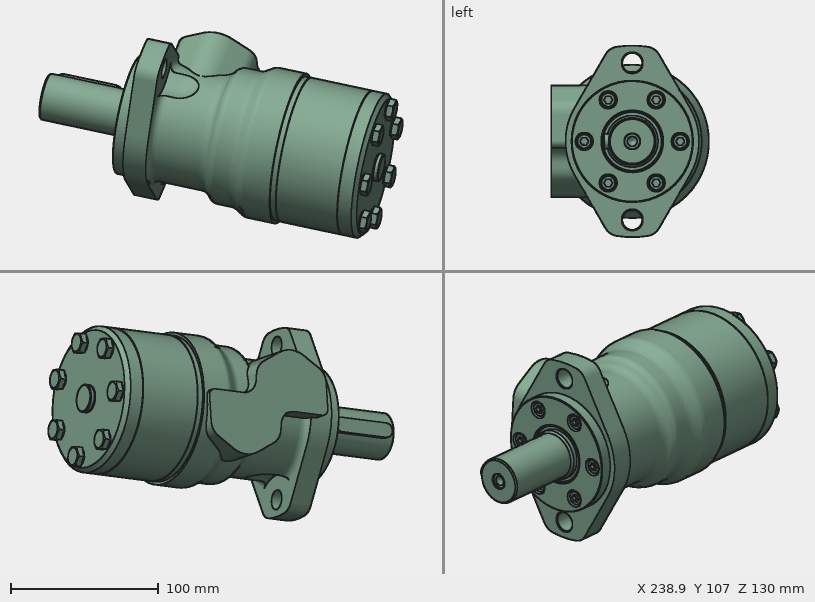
import cadquery as cq
import math


PILOT_FACE = 59.3
FLANGE_FACE = 67.8
FLANGE_BACK = 83.9
NECK_END = 119.6
BELT_START = 131.8
BELT_END = 141.9
REAR_START = 154.1
HOUSING_END = 173.0
SPACER_END = 176.8
RING_END = 220.3
COVER_END = 233.1
OVERALL_LENGTH = 238.9

SHAFT_R = 16.0
SHAFT_TIP_CHAMFER = 1.0
COLLAR_R = 17.5
COLLAR_CONE_START = 56.1
COLLAR_START = COLLAR_CONE_START + COLLAR_R - SHAFT_R
SHAFT_END = NECK_END
CENTRE_BORE_R = 5.2
CENTRE_BORE_CHAMFER = 0.3
CENTRE_BORE_DEPTH = 1.2
THREAD_HOLE_R = 6.65 / 2
THREAD_HOLE_DEPTH = 25.0
DRILL_HALF_ANGLE = 59.0
KEY_START = 3.6
KEY_LENGTH = 45.0
KEY_WIDTH = 10.0
KEY_BOTTOM = 11.0
KEY_TOP = 19.0

PILOT_R = 41.25
PILOT_CHAMFER = 0.5
FLANGE_SIDE_R = 45.2
FLANGE_TIP_R = 65.0
FLANGE_CORNER_R = 11.0
FLANGE_EDGE_ANGLE = 30.0
MOUNT_HOLE_R = 13.35 / 2
MOUNT_HOLE_CHAMFER = 0.6
MOUNT_HOLE_Z = 53.2
SEAL_MOUTH_R = 21.1
SEAL_MOUTH_CHAMFER = 0.5
SEAL_MOUTH_DEPTH = 0.8
SEAL_RECESS_R = 39.6 / 2
SEAL_RECESS_DEPTH = 1.5
SCREW_COUNT = 6
SCREW_CIRCLE_R = 32.5
SCREW_BORE_R = 6.0
SCREW_BORE_DEPTH = 6.0
SCREW_HEAD_R = 5.0
SCREW_HEAD_CHAMFER = 0.4
SCREW_HEAD_SINK = 1.0
SCREW_SOCKET_FLATS = 5.0
SCREW_SOCKET_DEPTH = 3.0

NECK_R = 40.4
NECK_FILLET = FLANGE_SIDE_R - NECK_R
BELT_R = 47.1
REAR_R = 52.0
SHOULDER_HOLLOW_R = 8.1
SHOULDER_CREST_R = 6.0
BOLT_SLOT_R = 23.9
BOLT_SLOT_Z = 60.0
BOLT_SLOT_END = 94.2

PORT_FACE_Y = 55.0
PORT_END = 170.6
LOBE_X = 105.7
LOBE_TOP = 38.0
LOBE_TIP_R = 19.3
LOBE_SLOPE = 31.5
SLOPE_LENGTH = 13.9
FLANK_BLEND_R = 12.0
FLANK_LEAN = 4.0
LEDGE_Z = 4.4
LEDGE_BLEND_R = 10.3

RING_R = 50.0
RING_CHAMFER = 0.3
COVER_CHAMFER = 3.0
BOLT_COUNT = 7
BOLT_CIRCLE_R = 40.0
BOLT_FIRST_ANGLE = -3.5
BOLT_FLATS = 13.0
BOLT_HEAD_TURN = -8.0
BOLT_WASHER_R = 11.9 / 2
BOLT_WASHER_THICKNESS = 0.8
BOLT_FACE_R = 6.0
PLUG_NECK_R = 9.0
PLUG_NECK_LENGTH = 0.8
PLUG_R = 9.5
PLUG_LENGTH = 4.2
PLUG_CHAMFER = 0.6


def x_cylinder(radius, start, end, y=0.0, z=0.0):
    """Solid cylinder parallel to X between two stations."""
    plane = cq.Workplane("YZ", origin=(start, y, z))
    return plane.circle(radius).extrude(end - start)


def x_revolve(profile):
    """Turn a closed profile drawn in XY about the X axis."""
    return profile.revolve(360, (0, 0, 0), (1, 0, 0))


def hexagon(flats, start, end):
    """Hexagonal prism along X with a corner on +Y."""
    corner_diameter = flats / math.cos(math.pi / 6)
    return cq.Workplane("YZ", origin=(start, 0, 0)).polygon(6, corner_diameter).extrude(end - start)


def around_axis(feature, radius, count, first_angle=0.0):
    """Copies of a feature spaced evenly on a circle about X, all keeping the same orientation."""
    copies = []
    for i in range(count):
        angle = math.radians(first_angle + i * 360.0 / count)
        copies.append(feature.translate((0, radius * math.cos(angle), radius * math.sin(angle))))
    return copies


def make_key():
    plane = cq.Workplane("XZ", origin=(KEY_START + KEY_LENGTH / 2, KEY_BOTTOM, 0))
    return plane.slot2D(KEY_LENGTH, KEY_WIDTH).extrude(KEY_BOTTOM - KEY_TOP)


def make_shaft(key):
    tip_depth = THREAD_HOLE_R / math.tan(math.radians(DRILL_HALF_ANGLE))
    profile = (
        cq.Workplane("XY")
        .moveTo(THREAD_HOLE_DEPTH + tip_depth, 0)
        .lineTo(THREAD_HOLE_DEPTH, THREAD_HOLE_R)
        .lineTo(CENTRE_BORE_DEPTH, THREAD_HOLE_R)
        .lineTo(CENTRE_BORE_DEPTH, CENTRE_BORE_R)
        .lineTo(CENTRE_BORE_CHAMFER, CENTRE_BORE_R)
        .lineTo(0, CENTRE_BORE_R + CENTRE_BORE_CHAMFER)
        .lineTo(0, SHAFT_R - SHAFT_TIP_CHAMFER)
        .lineTo(SHAFT_TIP_CHAMFER, SHAFT_R)
        .lineTo(COLLAR_CONE_START, SHAFT_R)
        .lineTo(COLLAR_START, COLLAR_R)
        .lineTo(SHAFT_END, COLLAR_R)
        .lineTo(SHAFT_END, 0)
        .close()
    )
    return x_revolve(profile).cut(key)


def make_flange():
    """Oval flange: a round middle with straight flanks running tangent to two rounded tips."""
    angle = math.radians(FLANGE_EDGE_ANGLE)
    tangent_y = FLANGE_SIDE_R * math.cos(angle)
    tangent_z = FLANGE_SIDE_R * math.sin(angle)
    apex_z = FLANGE_SIDE_R / math.sin(angle)
    thickness = FLANGE_BACK - FLANGE_FACE
    flanks = (
        cq.Workplane("YZ", origin=(FLANGE_FACE, 0, 0))
        .polyline([
            (tangent_y, -tangent_z),
            (tangent_y, tangent_z),
            (0, apex_z),
            (-tangent_y, tangent_z),
            (-tangent_y, -tangent_z),
            (0, -apex_z),
        ])
        .close()
        .extrude(thickness)
        .intersect(x_cylinder(FLANGE_TIP_R, FLANGE_FACE, FLANGE_BACK))
    )
    tips = cq.selectors.BoxSelector(
        (FLANGE_FACE, -FLANGE_SIDE_R, tangent_z + 1),
        (FLANGE_BACK, FLANGE_SIDE_R, apex_z),
    ) + cq.selectors.BoxSelector(
        (FLANGE_FACE, -FLANGE_SIDE_R, -apex_z),
        (FLANGE_BACK, FLANGE_SIDE_R, -tangent_z - 1),
    )
    flanks = flanks.edges("|X").edges(tips).fillet(FLANGE_CORNER_R)
    return flanks.union(x_cylinder(FLANGE_SIDE_R, FLANGE_FACE, FLANGE_BACK))


def add_shoulder(profile, start, end, low, high):
    """Concave arc, straight slope and convex arc from radius low up to radius high."""
    run = end - start
    radii = SHOULDER_HOLLOW_R + SHOULDER_CREST_R
    drop = radii - (high - low)
    slope = math.atan2(run, drop) - math.acos(radii / math.hypot(run, drop))

    def arc_offset(radius, angle):
        return radius * math.sin(angle), radius * (1 - math.cos(angle))

    hollow_mid_x, hollow_mid_r = arc_offset(SHOULDER_HOLLOW_R, slope / 2)
    hollow_x, hollow_r = arc_offset(SHOULDER_HOLLOW_R, slope)
    crest_mid_x, crest_mid_r = arc_offset(SHOULDER_CREST_R, slope / 2)
    crest_x, crest_r = arc_offset(SHOULDER_CREST_R, slope)
    return (
        profile.lineTo(start, low)
        .threePointArc((start + hollow_mid_x, low + hollow_mid_r), (start + hollow_x, low + hollow_r))
        .lineTo(end - crest_x, high - crest_r)
        .threePointArc((end - crest_mid_x, high - crest_mid_r), (end, high))
    )


def make_turned_body():
    """Neck, belt and rear rim joined by S-shaped shoulders."""
    fillet_middle = NECK_FILLET * (1 - math.sqrt(0.5))
    profile = (
        cq.Workplane("XY")
        .moveTo(FLANGE_FACE, 0)
        .lineTo(FLANGE_FACE, FLANGE_SIDE_R)
        .lineTo(FLANGE_BACK, FLANGE_SIDE_R)
        .threePointArc(
            (FLANGE_BACK + fillet_middle, NECK_R + fillet_middle),
            (FLANGE_BACK + NECK_FILLET, NECK_R),
        )
    )
    profile = add_shoulder(profile, NECK_END, BELT_START, NECK_R, BELT_R)
    profile = add_shoulder(profile, BELT_END, REAR_START, BELT_R, REAR_R)
    profile = profile.lineTo(HOUSING_END, REAR_R).lineTo(HOUSING_END, 0).close()
    return x_revolve(profile)


def make_port_block():
    """Block with two offset lobes; the second half of its outline is the first turned half round.

    Each lobe has a round tip, two straight slopes and two flanks that lean in by a few degrees.
    All its arcs are tangent to their neighbours. One flank runs down to the middle plane and
    the other blends into a flat ledge.
    """
    slope = math.radians(LOBE_SLOPE)
    lean = math.radians(FLANK_LEAN)
    steep = math.pi / 2 - lean
    mean_angle = (slope + steep) / 2

    tip_x = LOBE_TIP_R * math.sin(slope)
    tip_z = LOBE_TOP - LOBE_TIP_R * (1 - math.cos(slope))
    foot_x = tip_x + SLOPE_LENGTH * math.cos(slope)
    foot_z = tip_z - SLOPE_LENGTH * math.sin(slope)
    centre_x = foot_x - FLANK_BLEND_R * math.sin(slope)
    centre_z = foot_z - FLANK_BLEND_R * math.cos(slope)
    middle_x = centre_x + FLANK_BLEND_R * math.sin(mean_angle)
    middle_z = centre_z + FLANK_BLEND_R * math.cos(mean_angle)
    flank_x = centre_x + FLANK_BLEND_R * math.sin(steep)
    flank_z = centre_z + FLANK_BLEND_R * math.cos(steep)

    start_x = LOBE_X - flank_x - flank_z * math.tan(lean)
    blend_top_z = LEDGE_Z + LEDGE_BLEND_R * (1 - math.cos(steep))
    blend_top_x = LOBE_X + flank_x + (flank_z - blend_top_z) * math.tan(lean)
    blend_end_x = blend_top_x + LEDGE_BLEND_R * math.sin(steep)
    blend_middle_x = blend_end_x - LEDGE_BLEND_R * math.sin(steep / 2)
    blend_middle_z = LEDGE_Z + LEDGE_BLEND_R * (1 - math.cos(steep / 2))
    corner_x = PORT_END - LEDGE_Z
    corner_middle = LEDGE_Z * math.sqrt(0.5)

    def half_outline(path, place):
        return (
            path.lineTo(*place(LOBE_X - flank_x, flank_z))
            .threePointArc(place(LOBE_X - middle_x, middle_z), place(LOBE_X - foot_x, foot_z))
            .lineTo(*place(LOBE_X - tip_x, tip_z))
            .threePointArc(place(LOBE_X, LOBE_TOP), place(LOBE_X + tip_x, tip_z))
            .lineTo(*place(LOBE_X + foot_x, foot_z))
            .threePointArc(place(LOBE_X + middle_x, middle_z), place(LOBE_X + flank_x, flank_z))
            .lineTo(*place(blend_top_x, blend_top_z))
            .threePointArc(place(blend_middle_x, blend_middle_z), place(blend_end_x, LEDGE_Z))
            .lineTo(*place(corner_x, LEDGE_Z))
            .threePointArc(place(corner_x + corner_middle, corner_middle), place(PORT_END, 0))
        )

    path = cq.Workplane("XZ").moveTo(start_x, 0)
    path = half_outline(path, lambda x, z: (x, z))
    path = half_outline(path, lambda x, z: (start_x + PORT_END - x, -z))
    return path.close().extrude(-PORT_FACE_Y)


def make_mount_hole():
    """Hole through the flange, chamfered at the front."""
    return x_revolve(
        cq.Workplane("XY")
        .moveTo(FLANGE_FACE, 0)
        .lineTo(FLANGE_FACE, MOUNT_HOLE_R + MOUNT_HOLE_CHAMFER)
        .lineTo(FLANGE_FACE + MOUNT_HOLE_CHAMFER, MOUNT_HOLE_R)
        .lineTo(FLANGE_BACK, MOUNT_HOLE_R)
        .lineTo(FLANGE_BACK, 0)
        .close()
    )


def make_bolt_slot(side):
    """Ball-ended trough behind a mounting hole that clears its bolt head."""
    z = side * BOLT_SLOT_Z
    trough = x_cylinder(BOLT_SLOT_R, FLANGE_BACK, BOLT_SLOT_END, z=z)
    ball = cq.Workplane("XY", origin=(BOLT_SLOT_END, 0, z)).sphere(BOLT_SLOT_R)
    behind_flange = cq.Workplane("XY", origin=(FLANGE_BACK, 0, z)).box(
        3 * BOLT_SLOT_R, 3 * BOLT_SLOT_R, 3 * BOLT_SLOT_R, centered=(False, True, True)
    )
    return trough.union(ball.intersect(behind_flange))


def make_screw_recess():
    """Counterbore around a socket screw head, with the hexagon socket in the head."""
    head_face = PILOT_FACE + SCREW_HEAD_SINK
    bore = x_cylinder(SCREW_BORE_R, PILOT_FACE, PILOT_FACE + SCREW_BORE_DEPTH)
    head = x_cylinder(SCREW_HEAD_R, head_face, PILOT_FACE + SCREW_BORE_DEPTH)
    head = head.faces("<X").chamfer(SCREW_HEAD_CHAMFER)
    socket = hexagon(SCREW_SOCKET_FLATS, head_face, head_face + SCREW_SOCKET_DEPTH)
    return bore.cut(head).union(socket)


def make_shaft_bore():
    """Stepped seal recess with a chamfered mouth, followed by the blind bore that holds the shaft collar."""
    mouth_end = PILOT_FACE + SEAL_MOUTH_DEPTH
    recess_end = PILOT_FACE + SEAL_RECESS_DEPTH
    profile = (
        cq.Workplane("XY")
        .moveTo(PILOT_FACE, 0)
        .lineTo(PILOT_FACE, SEAL_MOUTH_R)
        .lineTo(PILOT_FACE + SEAL_MOUTH_CHAMFER, SEAL_MOUTH_R - SEAL_MOUTH_CHAMFER)
        .lineTo(mouth_end, SEAL_MOUTH_R - SEAL_MOUTH_CHAMFER)
        .lineTo(mouth_end, SEAL_RECESS_R)
        .lineTo(recess_end, SEAL_RECESS_R)
        .lineTo(recess_end, COLLAR_R)
        .lineTo(SHAFT_END, COLLAR_R)
        .lineTo(SHAFT_END, 0)
        .close()
    )
    return x_revolve(profile)


def make_housing():
    pilot = x_cylinder(PILOT_R, PILOT_FACE, FLANGE_FACE).faces("<X").chamfer(PILOT_CHAMFER)
    body = make_turned_body().union(make_flange()).union(make_port_block()).union(pilot)
    for side in (1, -1):
        body = body.cut(make_bolt_slot(side))
        body = body.cut(make_mount_hole().translate((0, 0, side * MOUNT_HOLE_Z)))
    for recess in around_axis(make_screw_recess(), SCREW_CIRCLE_R, SCREW_COUNT):
        body = body.cut(recess)
    return body.cut(make_shaft_bore())


def make_spacer():
    return x_cylinder(RING_R, HOUSING_END, SPACER_END)


def make_gear_ring():
    return x_cylinder(RING_R, SPACER_END, RING_END).faces("<X or >X").chamfer(RING_CHAMFER)


def make_bolt_head():
    """Hexagon head on a round washer face, its outer corners turned to a 30 degree cone."""
    washer_end = COVER_END + BOLT_WASHER_THICKNESS
    corner_r = BOLT_FLATS / math.sqrt(3)
    cone_length = (corner_r - BOLT_FACE_R) * math.tan(math.pi / 6)
    cone_start = OVERALL_LENGTH - cone_length
    envelope = x_revolve(
        cq.Workplane("XY")
        .moveTo(washer_end, 0)
        .lineTo(washer_end, corner_r)
        .lineTo(cone_start, corner_r)
        .lineTo(OVERALL_LENGTH, BOLT_FACE_R)
        .lineTo(OVERALL_LENGTH, 0)
        .close()
    )
    head = hexagon(BOLT_FLATS, washer_end, OVERALL_LENGTH)
    head = head.rotate((0, 0, 0), (1, 0, 0), BOLT_HEAD_TURN).intersect(envelope)
    return head.union(x_cylinder(BOLT_WASHER_R, COVER_END, washer_end))


def make_end_cover():
    cover = x_cylinder(RING_R, RING_END, COVER_END).faces(">X").chamfer(COVER_CHAMFER)
    neck_end = COVER_END + PLUG_NECK_LENGTH
    plug_end = COVER_END + PLUG_LENGTH
    cover = cover.union(x_cylinder(PLUG_NECK_R, COVER_END, neck_end))
    cover = cover.union(x_cylinder(PLUG_R, neck_end, plug_end).faces(">X").chamfer(PLUG_CHAMFER))
    for head in around_axis(make_bolt_head(), BOLT_CIRCLE_R, BOLT_COUNT, BOLT_FIRST_ANGLE):
        cover = cover.union(head)
    return cover


key = make_key()
shaft = make_shaft(key)
housing = make_housing()
spacer = make_spacer()
gear_ring = make_gear_ring()
end_cover = make_end_cover()

result = cq.Compound.makeCompound([
    shaft.val(),
    key.val(),
    housing.val(),
    spacer.val(),
    gear_ring.val(),
    end_cover.val(),
])